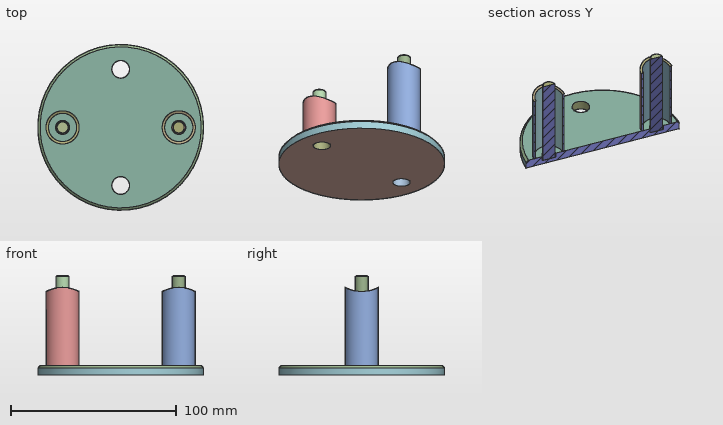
import cadquery as cq

plate_diameter = 100.0
plate_thickness = 6.0
plate_chamfer = 1.5
screw_hole_diameter = 10.5

pitch_diameter = 70.0
pitch_radius = pitch_diameter / 2

tube_outer_diameter = 20.0
tube_inner_diameter = 17.0
rail_diameter = 42.4
rail_radius = rail_diameter / 2
saddle_bottom_z = 50.5
rail_axis_z = saddle_bottom_z + rail_radius

pin_diameter = 8.0
pin_top_z = 60.04
pin_chamfer = 0.7
pin_seat_diameter = 8.5
pin_seat_depth = plate_thickness / 2
pin_bottom_z = plate_thickness - pin_seat_depth


def make_plate():
    """Round plate with a chamfered top rim, two screw holes on the Y axis and two pin seats on the X axis."""
    disc = cq.Workplane("XY").circle(plate_diameter / 2).extrude(plate_thickness)
    disc = disc.faces(">Z").chamfer(plate_chamfer)
    screw_holes = (
        cq.Workplane("XY")
        .pushPoints([(0, -pitch_radius), (0, pitch_radius)])
        .circle(screw_hole_diameter / 2)
        .extrude(plate_thickness)
    )
    pin_seats = (
        cq.Workplane("XY", origin=(0, 0, pin_bottom_z))
        .pushPoints([(-pitch_radius, 0), (pitch_radius, 0)])
        .circle(pin_seat_diameter / 2)
        .extrude(pin_seat_depth)
    )
    return disc.cut(screw_holes).cut(pin_seats)


def make_tube(x):
    """Tube standing on the plate, its top cut to the round of the rail."""
    blank = (
        cq.Workplane("XY", origin=(x, 0, plate_thickness))
        .circle(tube_outer_diameter / 2)
        .circle(tube_inner_diameter / 2)
        .extrude(rail_axis_z - plate_thickness)
    )
    rail = (
        cq.Workplane("YZ", origin=(x, 0, rail_axis_z))
        .circle(rail_radius)
        .extrude(tube_outer_diameter / 2, both=True)
    )
    return blank.cut(rail)


def make_pin(x):
    """Plain round pin with a chamfered tip, standing on the floor of its seat."""
    pin = (
        cq.Workplane("XY", origin=(x, 0, pin_bottom_z))
        .circle(pin_diameter / 2)
        .extrude(pin_top_z - pin_bottom_z)
    )
    return pin.faces(">Z").chamfer(pin_chamfer)


plate = make_plate()
bodies = [plate.val()]
for post_x in (-pitch_radius, pitch_radius):
    bodies.append(make_tube(post_x).val())
    bodies.append(make_pin(post_x).val())

result = cq.Compound.makeCompound(bodies)